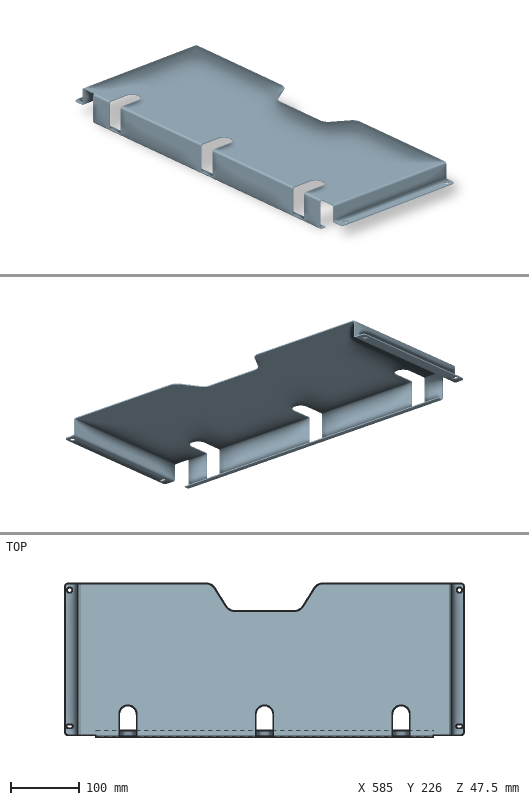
import cadquery as cq
import math

overall_width = 585.0
overall_depth = 226.0
overall_height = 47.5

sheet = 1.5
inner_bend = sheet
mid_bend = inner_bend + sheet / 2
outer_bend = inner_bend + sheet

foot_width = 19.0
step_height = 28.0
panel_depth = overall_depth - outer_bend
foot_corner_radius = 5.0

wall_width = 495.0
lip_depth = 10.5
panel_overlap = sheet

slot_width = 25.0
slot_spacing = 200.0
slot_depth = 47.0

notch_top_width = 154.5
notch_bottom_width = 104.0
notch_depth = 40.5
notch_radius = 15.0

hole_edge_offset = 7.0
round_hole_diameter = 7.5
round_hole_rear_offset = 10.0
long_hole_length = 9.5
long_hole_width = 5.0
long_hole_rear_offset = 209.5

panel_mid_z = -sheet / 2
foot_mid_z = -step_height + sheet / 2
step_mid_x = overall_width / 2 - foot_width - sheet / 2
wall_mid_y = sheet / 2
lip_mid_z = -overall_height + sheet / 2
bend_mid_offset = mid_bend * (1 - math.sqrt(0.5))
cut_clearance = 6.0


def rounded_path(plane, corners):
    """Open path through right-angled corners, each rounded to the mid-sheet bend radius."""
    path = cq.Workplane(plane).moveTo(*corners[0])
    for before, corner, after in zip(corners, corners[1:], corners[2:]):
        legs = [cq.Vector(*end) - cq.Vector(*corner) for end in (before, after)]
        toward_before, toward_after = [leg.normalized() for leg in legs]
        origin = cq.Vector(*corner)
        arc_start = origin + toward_before * mid_bend
        arc_middle = origin + (toward_before + toward_after) * bend_mid_offset
        arc_end = origin + toward_after * mid_bend
        path = path.lineTo(arc_start.x, arc_start.y)
        path = path.threePointArc((arc_middle.x, arc_middle.y), (arc_end.x, arc_end.y))
    return path.lineTo(*corners[-1])


def make_panel():
    """Hat-shaped sheet: foot, step, panel, step, foot."""
    path = rounded_path("XZ", [
        (-overall_width / 2, foot_mid_z),
        (-step_mid_x, foot_mid_z),
        (-step_mid_x, panel_mid_z),
        (step_mid_x, panel_mid_z),
        (step_mid_x, foot_mid_z),
        (overall_width / 2, foot_mid_z),
    ])
    section = cq.Workplane("YZ", origin=(-overall_width / 2, outer_bend + panel_depth / 2, foot_mid_z))
    panel = section.rect(panel_depth, sheet).sweep(path)
    foot_corners = panel.edges("|Z").edges("<X or >X")
    return foot_corners.fillet(foot_corner_radius)


def make_front_wall():
    """Wall bent down from the panel's front edge, with its lip bent back to the rear."""
    start_y = outer_bend + panel_overlap
    path = rounded_path("YZ", [
        (start_y, panel_mid_z),
        (wall_mid_y, panel_mid_z),
        (wall_mid_y, lip_mid_z),
        (lip_depth, lip_mid_z),
    ])
    section = cq.Workplane("XZ", origin=(0, start_y, panel_mid_z))
    return section.rect(wall_width, sheet).sweep(path)


def make_wire_slot(x):
    """Round-ended slot that stops where the wall starts bending into the lip."""
    height = overall_height - outer_bend
    straight = slot_depth - slot_width / 2
    slot = (
        cq.Workplane("XY", origin=(x, 0, -height))
        .moveTo(-slot_width / 2, -cut_clearance)
        .lineTo(slot_width / 2, -cut_clearance)
        .lineTo(slot_width / 2, straight)
        .threePointArc((0, slot_depth), (-slot_width / 2, straight))
        .close()
    )
    return slot.extrude(height + cut_clearance)


def make_rear_notch():
    """Trapezoid notch with rounded floor corners and rounded mouth corners."""
    half_top = notch_top_width / 2
    half_bottom = notch_bottom_width / 2
    rear = overall_depth
    floor = rear - notch_depth
    mouth_reach = half_top + 2 * notch_radius
    outline = cq.Workplane("XY", origin=(0, 0, -sheet - cut_clearance)).polyline([
        (-mouth_reach, rear + cut_clearance),
        (-mouth_reach, rear),
        (-half_top, rear),
        (-half_bottom, floor),
        (half_bottom, floor),
        (half_top, rear),
        (mouth_reach, rear),
        (mouth_reach, rear + cut_clearance),
    ]).close()
    notch = outline.extrude(sheet + 2 * cut_clearance)
    corner_edges = notch.edges("|Z").edges(
        cq.selectors.BoxSelector(
            (-half_top - notch_radius, floor - cut_clearance, -overall_height),
            (half_top + notch_radius, rear + cut_clearance / 2, overall_height),
        )
    )
    return corner_edges.fillet(notch_radius)


def make_foot_holes(x):
    """Round hole at the rear of a foot and an elongated one at its front."""
    foot = cq.Workplane("XY", origin=(x, overall_depth, -step_height - cut_clearance))
    cut_height = sheet + 2 * cut_clearance
    round_hole = foot.center(0, -round_hole_rear_offset).circle(round_hole_diameter / 2).extrude(cut_height)
    long_hole = (
        foot.center(0, -long_hole_rear_offset)
        .slot2D(long_hole_length, long_hole_width)
        .extrude(cut_height)
    )
    return round_hole.union(long_hole)


result = make_panel().union(make_front_wall())
result = result.cut(make_rear_notch())
for slot_x in (-slot_spacing, 0, slot_spacing):
    result = result.cut(make_wire_slot(slot_x))
for side in (-1, 1):
    result = result.cut(make_foot_holes(side * (overall_width / 2 - hole_edge_offset)))